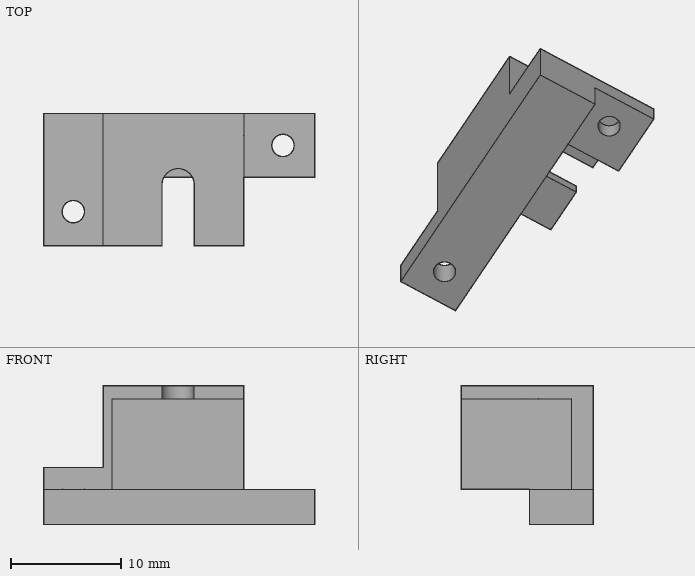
import cadquery as cq

length = 24.6
depth = 12.0
height = 12.6

base_depth = 5.8
base_height = 3.2

flange_length = 5.4
flange_thickness = 2.0

housing_length = 12.75
side_wall_thickness = 0.8
back_wall_thickness = 2.0
top_thickness = 1.2

slot_width = 2.9
slot_depth = 7.0
slot_center_x = 12.2

hole_diameter = 2.0
hole_from_right_end = 2.9

base_front_y = depth - base_depth
housing_height = height - base_height


def block(x, y, z, size_x, size_y, size_z):
    """Box with its lower left front corner at (x, y, z)."""
    return cq.Workplane("XY").box(size_x, size_y, size_z, centered=False).translate((x, y, z))


def make_body():
    """Base bar, flange and housing joined together."""
    base = block(0, base_front_y, 0, length, base_depth, base_height)
    flange = block(0, 0, base_height, flange_length, depth, flange_thickness)
    side_wall = block(flange_length, 0, base_height, side_wall_thickness, depth, housing_height)
    back_wall = block(
        flange_length, depth - back_wall_thickness, base_height,
        housing_length, back_wall_thickness, housing_height,
    )
    top_plate = block(flange_length, 0, height - top_thickness, housing_length, depth, top_thickness)
    return base.union(flange).union(side_wall).union(back_wall).union(top_plate)


def make_slot():
    """Round-ended slot that opens through the front edge of the top plate."""
    slot_radius = slot_width / 2
    straight_depth = slot_depth - slot_radius
    return (
        cq.Workplane("XY", origin=(slot_center_x, 0, height - top_thickness))
        .moveTo(-slot_radius, 0)
        .lineTo(slot_radius, 0)
        .lineTo(slot_radius, straight_depth)
        .threePointArc((0, slot_depth), (-slot_radius, straight_depth))
        .close()
        .extrude(top_thickness)
    )


def make_mounting_holes():
    """One hole in the flange ahead of the base bar, one in the right end of the bar."""
    flange_hole = (flange_length / 2, base_front_y / 2)
    base_hole = (length - hole_from_right_end, depth - base_depth / 2)
    return (
        cq.Workplane("XY")
        .pushPoints([flange_hole, base_hole])
        .circle(hole_diameter / 2)
        .extrude(base_height + flange_thickness)
    )


result = make_body().cut(make_slot()).cut(make_mounting_holes())